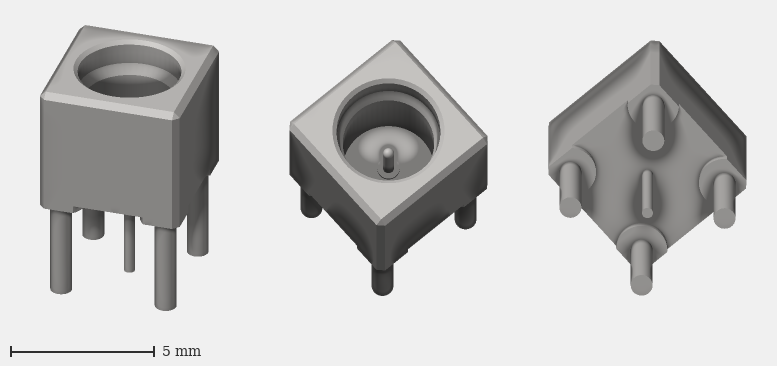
import cadquery as cq

total_height = 8.18
body_width = 5.08
body_chamfer = 0.21
pad_bottom = 3.55
pad_height = 0.28
body_bottom = pad_bottom + pad_height

leg_diameter = 0.76
leg_offset = 1.9
pad_diameter = 1.78

mouth_diameter = 3.89
entry_diameter = 3.61
bore_diameter = 3.17
mouth_depth = 0.12
entry_depth = 0.87
taper_depth = 1.23
floor_depth = 3.76

contact_diameter = 0.385
contact_tip_depth = 2.045
collar_diameter = 0.785
collar_height = 0.08


def cylinder(diameter, bottom, top):
    """Upright cylinder on the central axis."""
    return cq.Workplane("XY").workplane(offset=bottom).circle(diameter / 2).extrude(top - bottom)


def make_body():
    """Block with chamfered upright and top edges, relieved underneath between the corner pads."""
    block = (
        cq.Workplane("XY")
        .workplane(offset=pad_bottom)
        .rect(body_width, body_width)
        .extrude(total_height - pad_bottom)
        .edges("|Z or >Z")
        .chamfer(body_chamfer)
    )
    pads = (
        cq.Workplane("XY")
        .workplane(offset=pad_bottom)
        .rect(2 * leg_offset, 2 * leg_offset, forConstruction=True)
        .vertices()
        .circle(pad_diameter / 2)
        .extrude(pad_height)
    )
    corner_size = body_width / 2 - leg_offset
    corner_centre = leg_offset + corner_size / 2
    corners = (
        cq.Workplane("XY")
        .workplane(offset=pad_bottom)
        .rect(2 * corner_centre, 2 * corner_centre, forConstruction=True)
        .vertices()
        .rect(corner_size, corner_size)
        .extrude(pad_height)
    )
    relief = (
        cq.Workplane("XY")
        .workplane(offset=pad_bottom)
        .rect(body_width, body_width)
        .extrude(pad_height)
        .cut(pads)
        .cut(corners)
    )
    return block.cut(relief)


def make_socket():
    """Revolved cavity: flared mouth, entry bore, taper and main bore."""
    floor = total_height - floor_depth
    return (
        cq.Workplane("XZ")
        .moveTo(0, floor)
        .lineTo(bore_diameter / 2, floor)
        .lineTo(bore_diameter / 2, total_height - taper_depth)
        .lineTo(entry_diameter / 2, total_height - entry_depth)
        .lineTo(entry_diameter / 2, total_height - mouth_depth)
        .lineTo(mouth_diameter / 2, total_height)
        .lineTo(0, total_height)
        .close()
        .revolve(360, (0, 0, 0), (0, 1, 0))
    )


def make_legs():
    """Four round legs, one under each corner pad."""
    return (
        cq.Workplane("XY")
        .rect(2 * leg_offset, 2 * leg_offset, forConstruction=True)
        .vertices()
        .circle(leg_diameter / 2)
        .extrude(pad_bottom + pad_height / 2)
    )


def make_contact():
    """Centre pin with a hemispherical tip and a collar on the socket floor."""
    dome_centre = total_height - contact_tip_depth - contact_diameter / 2
    shaft = cylinder(contact_diameter, 0, dome_centre)
    dome = cq.Workplane("XY").sphere(contact_diameter / 2).translate((0, 0, dome_centre))
    collar_top = total_height - floor_depth + collar_height
    collar = cylinder(collar_diameter, body_bottom, collar_top)
    return shaft.union(dome).union(collar)


result = make_body().cut(make_socket()).union(make_legs()).union(make_contact())